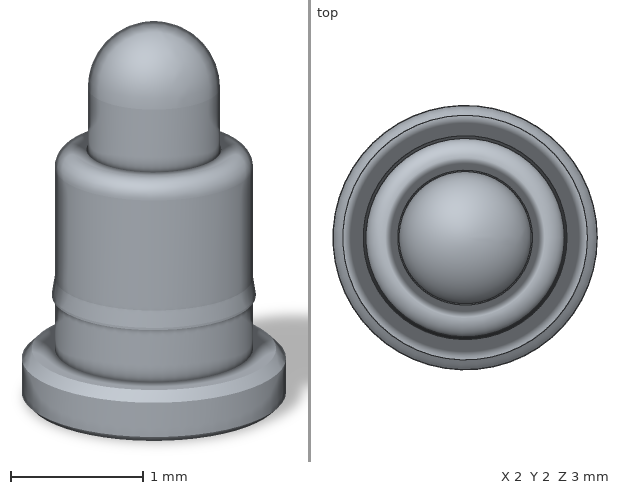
import cadquery as cq

total_height = 3.0
flange_radius = total_height / 3
flange_height = 0.4
flange_top_chamfer = 0.075
flange_bottom_chamfer = 0.048

barrel_radius = 0.75
barrel_top = total_height * 2 / 3
barrel_fillet = 0.14

collar_bottom = 0.825
collar_height = 0.15
collar_land_height = 0.018
collar_radius = 0.77

plunger_radius = total_height / 6
bore_radius = 0.51
bore_depth = 0.15


def cylinder(radius, bottom, top):
    return cq.Workplane("XY").workplane(offset=bottom).circle(radius).extrude(top - bottom)


def make_flange():
    flange = cylinder(flange_radius, 0, flange_height)
    flange = flange.faces(">Z").edges().chamfer(flange_top_chamfer)
    return flange.faces("<Z").edges().chamfer(flange_bottom_chamfer)


def make_barrel():
    """Round-shouldered barrel with a shallow clearance bore around the plunger."""
    barrel = cylinder(barrel_radius, 0, barrel_top).faces(">Z").edges().fillet(barrel_fillet)
    return barrel.cut(cylinder(bore_radius, barrel_top - bore_depth, barrel_top))


def make_collar():
    """Press-fit barb: a short straight land that tapers back to the barrel above it."""
    land_top = collar_bottom + collar_land_height
    collar_top = collar_bottom + collar_height
    profile = (
        cq.Workplane("XZ")
        .moveTo(0, collar_bottom)
        .lineTo(collar_radius, collar_bottom)
        .lineTo(collar_radius, land_top)
        .lineTo(barrel_radius, collar_top)
        .lineTo(0, collar_top)
        .close()
    )
    return profile.revolve(360, (0, 0, 0), (0, 1, 0))


def make_plunger():
    """Pin with a hemispherical tip, seated on the floor of the bore."""
    dome_center = total_height - plunger_radius
    shaft = cylinder(plunger_radius, 0, dome_center)
    dome = cq.Workplane("XY").sphere(plunger_radius).translate((0, 0, dome_center))
    return shaft.union(dome)


result = make_flange().union(make_barrel()).union(make_collar()).union(make_plunger())